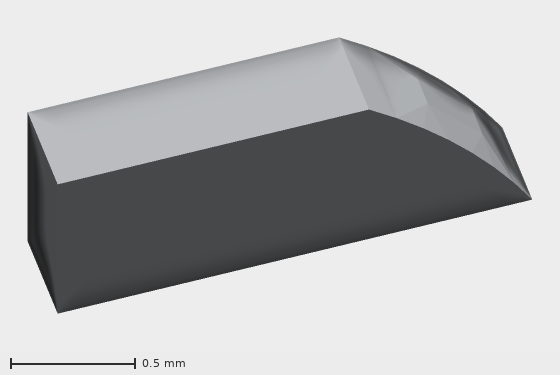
import cadquery as cq
import math

width = 0.4
length = 2.0
height = 0.8
nose_length = 0.688
edge_bulge = 0.055
crown_bulge = 0.08
edge_segments = 7
crown_half_width = width / 6

half_width = width / 2
tip_y = length / 2
back_y = -length / 2
slope_length = math.hypot(nose_length, height)


def nose_point(x, fraction, bulge):
    """Point a fraction of the way up the nose slope, raised square to it."""
    y = tip_y - fraction * nose_length + bulge * height / slope_length
    z = fraction * height + bulge * nose_length / slope_length
    return cq.Vector(x, y, z)


def side_edge(x):
    """Points of a side edge from the tip to the top, on a shallow parabola."""
    points = []
    for i in range(edge_segments + 1):
        fraction = i / edge_segments
        bulge = 4 * edge_bulge * fraction * (1 - fraction)
        points.append(nose_point(x, fraction, bulge))
    return points


def face(*points):
    return cq.Face.makeFromWires(cq.Wire.makePolygon(list(points), close=True))


def flank(edge, crown_low, crown_high):
    """Triangles joining the middle of a side edge to one side of the crown."""
    shoulder_low = 1
    shoulder_high = edge_segments - 1
    middle = edge_segments // 2
    triangles = [face(crown_low, crown_high, edge[middle])]
    for i in range(shoulder_low, shoulder_high):
        apex = crown_low if i < middle else crown_high
        triangles.append(face(apex, edge[i], edge[i + 1]))
    return triangles


left = side_edge(-half_width)
right = side_edge(half_width)
left_back = [cq.Vector(-half_width, back_y, z) for z in (height, 0)]
right_back = [cq.Vector(half_width, back_y, z) for z in (height, 0)]
left_crown = [nose_point(-crown_half_width, f, crown_bulge) for f in (1 / 3, 2 / 3)]
right_crown = [nose_point(crown_half_width, f, crown_bulge) for f in (1 / 3, 2 / 3)]

faces = [
    face(*left, *left_back),
    face(*right, *right_back),
    face(left[0], right[0], right_back[1], left_back[1]),
    face(left[-1], right[-1], right_back[0], left_back[0]),
    face(left_back[0], right_back[0], right_back[1], left_back[1]),
]

faces += [
    face(left[0], right[0], right[1], left[1]),
    face(left[1], right[1], right_crown[0], left_crown[0]),
    face(left_crown[0], right_crown[0], right_crown[1], left_crown[1]),
    face(left_crown[1], right_crown[1], right[-2], left[-2]),
    face(left[-2], right[-2], right[-1], left[-1]),
]

faces += flank(left, *left_crown)
faces += flank(right, *right_crown)

solid = cq.Solid.makeSolid(cq.Shell.makeShell(faces))
result = cq.Workplane("XY").newObject([solid])